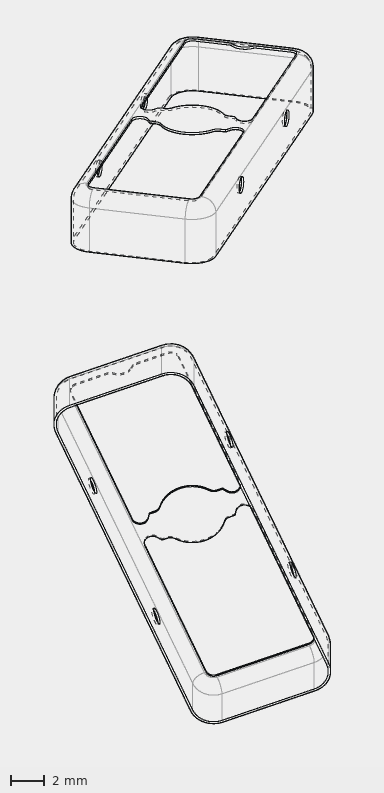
import cadquery as cq
import math

width = 8.9
length = 24.3
height = 3.8
corner_radius = 1.48
edge_radius = 0.9
wall = 0.15

rim_inset = 1.0
opening_radius = corner_radius - rim_inset

disc_radius = 2.0
bridge_half_width = 1.0
notch_radius = bridge_half_width / 2
blend_radius = notch_radius
flank_angle = math.radians(55)

tab_radius = 0.9
tab_reach = 0.36
tab_blend_radius = 0.2

hole_diameter = 1.0
hole_spacing = 10.0
hole_height = 2.19


def rounded_block(inset, top, top_radius):
    """Block inset from the outer sides, with rounded corners and top edge."""
    return (
        cq.Workplane("XY")
        .rect(width - 2 * inset, length - 2 * inset)
        .extrude(top)
        .edges("|Z").fillet(corner_radius - inset)
        .faces(">Z").edges().fillet(top_radius)
    )


def make_shell():
    """Thin cover of even wall thickness, open at the bottom."""
    outside = rounded_block(0, height, edge_radius)
    inside = rounded_block(wall, height - wall, edge_radius - wall)
    return outside.cut(inside)


def point_on_circle(center, radius, target):
    """Point where the circle meets the ray from its center to the target."""
    dx = target[0] - center[0]
    dy = target[1] - center[1]
    scale = radius / math.hypot(dx, dy)
    return (center[0] + dx * scale, center[1] + dy * scale)


def middle(first, second):
    """Point halfway between two points."""
    return ((first[0] + second[0]) / 2, (first[1] + second[1]) / 2)


def arc(outline, start, end, center, radius):
    """Continue the outline from start to end along the shorter arc."""
    return outline.threePointArc(point_on_circle(center, radius, middle(start, end)), end)


def make_bridge():
    """Central disc joined to both long sides, with a round notch at each neck corner."""
    opening_side = width / 2 - rim_inset
    rim_side = width / 2 - edge_radius
    disc_center = (0, 0)
    notch_center = (opening_side - notch_radius, bridge_half_width)
    notch_end = (opening_side, bridge_half_width)

    blend_y = bridge_half_width + blend_radius
    blend_center = (math.sqrt((disc_radius + blend_radius)**2 - blend_y**2), blend_y)
    blend_start = point_on_circle(disc_center, disc_radius, blend_center)
    blend_end = (blend_center[0], bridge_half_width)

    flank_start = (notch_center[0] - notch_radius / math.sin(flank_angle), bridge_half_width)
    flank_end = (
        notch_center[0] - notch_radius * math.sin(flank_angle),
        notch_center[1] - notch_radius * math.cos(flank_angle),
    )
    notch_bottom = (notch_center[0], notch_center[1] - notch_radius)

    disc_top = (0, disc_radius)
    outline = cq.Workplane("XY").workplane(offset=height - wall).lineTo(*disc_top)
    outline = arc(outline, disc_top, blend_start, disc_center, disc_radius)
    outline = arc(outline, blend_start, blend_end, blend_center, blend_radius)
    outline = outline.lineTo(*flank_start).lineTo(*flank_end)
    outline = outline.threePointArc(notch_bottom, notch_end)
    quarter = outline.lineTo(rim_side, bridge_half_width).lineTo(rim_side, 0).close().extrude(wall)
    half = quarter.union(quarter.mirror("YZ"))
    return half.union(half.mirror("XZ"))


def make_tab():
    """Circular tab reaching into the opening from its +Y end, blended at both sides."""
    edge_y = length / 2 - rim_inset
    rim_y = length / 2 - edge_radius
    tip = (0, edge_y - tab_reach)
    tab_center = (0, tip[1] + tab_radius)

    blend_y = edge_y - tab_blend_radius
    blend_x = math.sqrt((tab_radius + tab_blend_radius)**2 - (tab_center[1] - blend_y)**2)
    blend_center = (blend_x, blend_y)
    blend_start = point_on_circle(tab_center, tab_radius, blend_center)
    blend_end = (blend_x, edge_y)

    outline = cq.Workplane("XY").workplane(offset=height - wall).moveTo(*tip)
    outline = arc(outline, tip, blend_start, tab_center, tab_radius)
    outline = arc(outline, blend_start, blend_end, blend_center, tab_blend_radius)
    half = outline.lineTo(blend_x, rim_y).lineTo(0, rim_y).close().extrude(wall)
    return half.union(half.mirror("YZ"))


opening = (
    cq.Workplane("XY")
    .rect(width - 2 * rim_inset, length - 2 * rim_inset)
    .extrude(height)
    .edges("|Z").fillet(opening_radius)
)

side_holes = (
    cq.Workplane("YZ")
    .pushPoints([(side * hole_spacing / 2, hole_height) for side in (-1, 1)])
    .circle(hole_diameter / 2)
    .extrude(width / 2, both=True)
)

result = make_shell().cut(opening).union(make_bridge()).union(make_tab()).cut(side_holes)